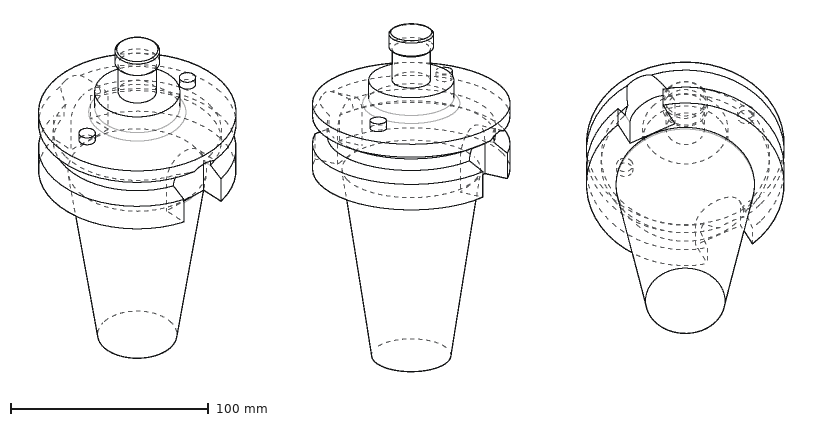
import cadquery as cq

taper_rate = 7 / 24
gauge_radius = 35.0
taper_length = 102.1
tip_radius = gauge_radius - taper_length * taper_rate / 2

flange_diameter = 100.0
flange_radius = flange_diameter / 2
groove_radius = 42.5
flange_bottom = 103.5
lower_rim_top = 117.7
groove_floor_bottom = 122.0
groove_floor_top = 128.5
upper_rim_bottom = 132.8
flange_top = 140.0

slot_width = 25.7
slot_floor = 35.4
slot_top = 134.8

boss_radius = 21.5
boss_top = 152.9
boss_fillet = 3.0

pin_radius = 4.1
pin_height = 4.3
pin_offset = 34.6

stud_radius = 9.7
head_radius = 11.3
stud_top = 179.5
neck_chamfer_bottom = 170.1
neck_chamfer_height = 1.3
head_chamfer = 0.9


def drive_slot(side):
    """Round-topped slot open at the flange bottom; side is -1 or 1 along X."""
    half_width = slot_width / 2
    arc_center = slot_top - half_width
    return (
        cq.Workplane("YZ", origin=(side * slot_floor, 0, 0))
        .moveTo(-half_width, flange_bottom)
        .lineTo(half_width, flange_bottom)
        .lineTo(half_width, arc_center)
        .threePointArc((0, slot_top), (-half_width, arc_center))
        .close()
        .extrude(side * flange_radius)
    )


def drive_pin(side):
    """Short round pin on the flange face; side is -1 or 1 along Y."""
    return (
        cq.Workplane("XY", origin=(0, side * pin_offset, flange_top))
        .circle(pin_radius)
        .extrude(pin_height)
    )


def revolved(profile):
    """Solid of revolution about Z from a closed profile drawn in the XZ plane."""
    return profile.close().revolve(360, (0, 0), (0, 1))


def make_holder():
    """Taper shank, grooved flange, boss and drive pins as one solid."""
    shank_and_flange = [
        (0, 0),
        (tip_radius, 0),
        (gauge_radius, taper_length),
        (gauge_radius, flange_bottom),
        (flange_radius, flange_bottom),
        (flange_radius, lower_rim_top),
        (groove_radius, groove_floor_bottom),
        (groove_radius, groove_floor_top),
        (flange_radius, upper_rim_bottom),
        (flange_radius, flange_top),
        (boss_radius + boss_fillet, flange_top),
    ]
    profile = (
        cq.Workplane("XZ")
        .polyline(shank_and_flange)
        .radiusArc((boss_radius, flange_top + boss_fillet), boss_fillet)
        .lineTo(boss_radius, boss_top)
        .lineTo(0, boss_top)
    )
    body = revolved(profile)
    for side in (-1, 1):
        body = body.cut(drive_slot(side))
        body = body.union(drive_pin(side))
    return body


def make_stud():
    """Headed stud standing on the boss, chamfered above and below its head."""
    outline = [
        (0, boss_top),
        (stud_radius, boss_top),
        (stud_radius, neck_chamfer_bottom),
        (head_radius, neck_chamfer_bottom + neck_chamfer_height),
        (head_radius, stud_top - head_chamfer),
        (head_radius - head_chamfer, stud_top),
        (0, stud_top),
    ]
    return revolved(cq.Workplane("XZ").polyline(outline))


holder = make_holder()
stud = make_stud()
result = cq.Compound.makeCompound([holder.val(), stud.val()])